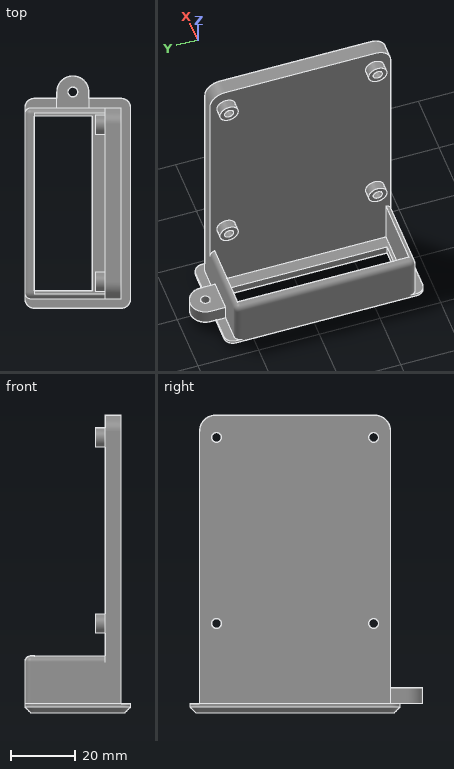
import cadquery as cq

base_length = 33.0
base_width = 65.6
base_height = 3.0
base_corner_radius = 3.0
base_chamfer = 1.95
flange_margin = 3.0

total_height = 93.0
plate_thickness = 5.0
plate_width = base_width - 2 * flange_margin
plate_corner_radius = 5.0
plate_back = base_length - flange_margin
plate_front = plate_back - plate_thickness

tray_top = 17.95
tray_edge_radius = 1.95
front_wall = 3.0
side_wall = 1.6
side_ledge = 1.0
window_length = 18.0
window_width = plate_width - 2 * (side_wall + side_ledge)

post_diameter = 6.0
post_length = 3.0
hole_diameter = 3.0
post_spacing_y = 49.0
post_spacing_z = 58.0
upper_post_drop = 7.0
upper_post_z = total_height - upper_post_drop
post_center_z = upper_post_z - post_spacing_z / 2

overall_width = 72.5
tab_radius = 5.0
tab_thickness = 5.0
tab_x = 15.0
tab_center_y = overall_width - base_width / 2 - tab_radius


def box_between(x_start, x_end, width, z_start, z_end):
    """Box centred on the XZ plane."""
    return cq.Workplane("XY").box(
        x_end - x_start, width, z_end - z_start, centered=(False, True, False)
    ).translate((x_start, 0, z_start))


def make_base():
    base = box_between(0, base_length, base_width, 0, base_height)
    base = base.edges("|Z").fillet(base_corner_radius)
    return base.faces("<Z").edges().chamfer(base_chamfer)


def make_plate():
    plate = box_between(plate_front, plate_back, plate_width, 0, total_height)
    return plate.edges("|X and >Z").fillet(plate_corner_radius)


def make_tray():
    tray = box_between(0, plate_front, plate_width, base_height, tray_top)
    return tray.edges("(<X and |Z) or (>Z and (not >X))").fillet(tray_edge_radius)


def make_tab():
    tab_end = cq.Workplane("XY").center(tab_x, tab_center_y).circle(tab_radius)
    tab_end = tab_end.extrude(tab_thickness)
    tab_root = plate_width / 2 - side_wall
    arm_length = tab_center_y - tab_root
    arm = cq.Workplane("XY").center(tab_x, tab_root + arm_length / 2)
    arm = arm.rect(2 * tab_radius, arm_length).extrude(tab_thickness)
    return tab_end.union(arm).translate((0, 0, base_height))


def post_cylinders(diameter, x_start, x_end):
    """Cylinders along X at the four mounting positions."""
    return (
        cq.Workplane("YZ", origin=(x_start, 0, post_center_z))
        .rarray(post_spacing_y, post_spacing_z, 2, 2)
        .circle(diameter / 2)
        .extrude(x_end - x_start)
    )


post_front = plate_front - post_length
cavity = box_between(
    front_wall, plate_front, plate_width - 2 * side_wall, base_height, tray_top
)
window = box_between(
    front_wall, front_wall + window_length, window_width, 0, base_height
)
tab_hole = (
    cq.Workplane("XY", origin=(tab_x, tab_center_y, base_height))
    .circle(hole_diameter / 2)
    .extrude(tab_thickness)
)

result = make_base().union(make_plate()).union(make_tray()).union(make_tab())
result = result.cut(cavity).cut(window).cut(tab_hole)
result = result.union(post_cylinders(post_diameter, post_front, plate_front))
result = result.cut(post_cylinders(hole_diameter, post_front, plate_back))